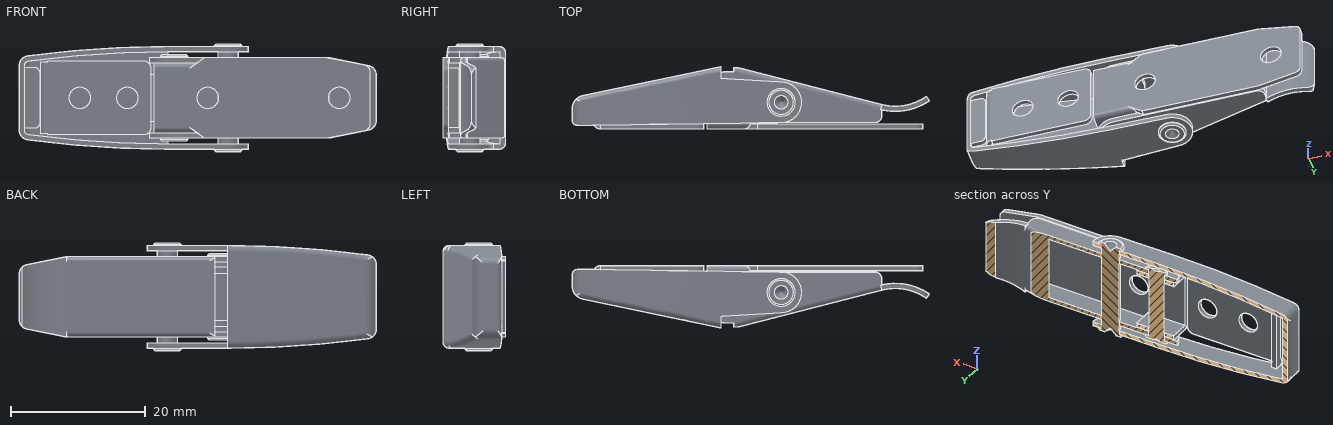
import cadquery as cq
import math


SHEET = 0.8
TALL = 31.75

HOLE_RADIUS = 1.6
KEEPER_HOLES_X = [9.0, 16.05]
BASE_HOLES_X = [27.95, 47.45]

RIVET_RADIUS = 1.55
HEAD_RADIUS = 2.05
LOOP_HEAD_HEIGHT = 0.35
BASE_HEAD_HEIGHT = 0.4
HEAD_CHAMFER = 0.25
DIMPLE_RADIUS = 1.0
DIMPLE_DEPTH = 1.0
LOOP_RIVET = (31.0, 3.95)
BASE_RIVET = (23.0, 4.7)

LOOP_HALF_WIDTH = 7.6
LOOP_ROOF_END = 22.1
LOOP_SIDE_RADIUS = 156.2
LOOP_TOP = 9.25
LOOP_ROOF_ANGLE = 11.8
LOOP_BOTTOM = 0.55
LOOP_ARM_TOP = 7.5
LOOP_ARM_END_RADIUS = 3.0
LOOP_CORNER_RADIUS = 1.5
LOOP_NOSE_RADIUS = 2.0
LOOP_ROOF_FILLET = 0.9
LOOP_NOTCH_FILLET = 0.55
LIP_END = 3.05
LIP_HALF_WIDTH = 4.5
LIP_CORNER_RADIUS = 0.8

LEVER_HALF_WIDTH = 6.0
LEVER_START = 19.35
LEVER_BOTTOM = 0.95
LEVER_SHOULDER_TOP = 8.5
LEVER_FRONT_RADIUS = 3.55
LEVER_ROOF_START = 23.95
LEVER_RIDGE = (24.7, 9.1)
LEVER_ROOF_ANGLE = 14.4
LEVER_WALL_END = 45.9
LEVER_REAR_RADIUS = 1.0
LEVER_ROOF_FILLET = 0.75
TONGUE_HALF_WIDTH = 3.5
TONGUE_GAP = 0.35
TONGUE_EDGE_RADIUS = 0.55
TAIL_CURVE_RADIUS = 8.0
TAIL_END = 52.95
TAIL_TIP_HALF_WIDTH = 4.55
TAIL_CORNER_RADIUS = 1.5

BASE_START = 19.95
BASE_END = 52.0
BASE_TAPER_START = 45.5
BASE_TIP_HALF_WIDTH = 4.7
BASE_CORNER_RADIUS = 1.0
BASE_NOTCH_START = 25.3
BASE_NOTCH_END = 27.5
FLANGE_TOP = 7.35
FLANGE_CORNER_RADIUS = 2.65

KEEPER_START = 3.2
KEEPER_END = 19.55
KEEPER_HALF_WIDTH = 5.45
KEEPER_CORNER_RADIUS = 1.05
KEEPER_BEND_RADIUS = 1.0
HOOK_HALF_WIDTH = 5.3
HOOK_TOP = 2.4

lever_half_inner = LEVER_HALF_WIDTH - SHEET
flange_half_inner = lever_half_inner - SHEET


def side_extrusion(outline, half_width):
    """Extrude an outline drawn in XY to both sides of Z = 0."""
    return outline.extrude(half_width, both=True)


def plan_workplane(height=0.0):
    """Workplane looking along -Y, with local x = X and local y = Z; extrude negative to go up."""
    return cq.Workplane("XZ", origin=(0, height, 0))


def z_cylinder(center, radius, half_length):
    return side_extrusion(cq.Workplane("XY").center(*center).circle(radius), half_length)


def mounting_holes(positions):
    points = [(x, 0) for x in positions]
    return plan_workplane().pushPoints(points).circle(HOLE_RADIUS).extrude(-SHEET)


def make_base():
    plate = (
        plan_workplane()
        .moveTo(BASE_START, -flange_half_inner)
        .lineTo(BASE_NOTCH_START, -flange_half_inner)
        .lineTo(BASE_NOTCH_END, -LEVER_HALF_WIDTH)
        .lineTo(BASE_TAPER_START, -LEVER_HALF_WIDTH)
        .lineTo(BASE_END, -BASE_TIP_HALF_WIDTH)
        .lineTo(BASE_END, BASE_TIP_HALF_WIDTH)
        .lineTo(BASE_TAPER_START, LEVER_HALF_WIDTH)
        .lineTo(BASE_NOTCH_END, LEVER_HALF_WIDTH)
        .lineTo(BASE_NOTCH_START, flange_half_inner)
        .lineTo(BASE_START, flange_half_inner)
        .close()
        .extrude(-SHEET)
        .edges("|Y and >X")
        .fillet(BASE_CORNER_RADIUS)
    )
    flange_end = (BASE_NOTCH_START + BASE_NOTCH_END) / 2
    flanges = side_extrusion(
        cq.Workplane("XY")
        .moveTo(BASE_START, 0)
        .lineTo(flange_end, 0)
        .lineTo(flange_end, FLANGE_TOP)
        .lineTo(BASE_START, FLANGE_TOP)
        .close(),
        lever_half_inner,
    )
    flanges = flanges.edges("|Z and >Y").fillet(FLANGE_CORNER_RADIUS)
    flanges = flanges.edges("|X and <Y").fillet(SHEET)
    between = cq.Workplane("XY").box(TALL * 2, TALL, 2 * flange_half_inner)
    flanges = flanges.cut(between.translate((BASE_END / 2, TALL / 2, 0)))
    base = plate.union(flanges).cut(mounting_holes(BASE_HOLES_X))
    return base.cut(z_cylinder(BASE_RIVET, RIVET_RADIUS, TALL))


def make_keeper():
    plate_start = KEEPER_START + KEEPER_BEND_RADIUS
    plate = (
        plan_workplane()
        .moveTo(plate_start, -KEEPER_HALF_WIDTH)
        .lineTo(KEEPER_END, -KEEPER_HALF_WIDTH)
        .lineTo(KEEPER_END, KEEPER_HALF_WIDTH)
        .lineTo(plate_start, KEEPER_HALF_WIDTH)
        .close()
        .extrude(-SHEET)
        .edges("|Y and >X")
        .fillet(KEEPER_CORNER_RADIUS)
    )
    inner_radius = KEEPER_BEND_RADIUS - SHEET
    hook = side_extrusion(
        cq.Workplane("XY")
        .moveTo(plate_start, 0)
        .radiusArc((KEEPER_START, KEEPER_BEND_RADIUS), KEEPER_BEND_RADIUS)
        .lineTo(KEEPER_START, HOOK_TOP)
        .lineTo(KEEPER_START + SHEET, HOOK_TOP)
        .lineTo(KEEPER_START + SHEET, KEEPER_BEND_RADIUS)
        .radiusArc((plate_start, SHEET), -inner_radius)
        .close(),
        HOOK_HALF_WIDTH,
    )
    return plate.union(hook).cut(mounting_holes(KEEPER_HOLES_X))


def loop_plan(inset, corner_radius):
    """Upright solid on the plan of the loop, moved inward, with rounded or sharp end corners."""
    half = LOOP_HALF_WIDTH - inset
    radius = LOOP_SIDE_RADIUS - inset
    run = LOOP_ROOF_END - inset
    end_half = half - radius + math.sqrt(radius**2 - run**2)
    block = (
        plan_workplane()
        .moveTo(TALL * 2, half)
        .lineTo(LOOP_ROOF_END, half)
        .radiusArc((inset, end_half), -radius)
        .lineTo(inset, -end_half)
        .radiusArc((LOOP_ROOF_END, -half), -radius)
        .lineTo(TALL * 2, -half)
        .close()
        .extrude(-TALL)
    )
    if corner_radius > 0:
        block = block.edges("|Y and <X").fillet(corner_radius)
    return block


def make_loop():
    roof_slope = math.tan(math.radians(LOOP_ROOF_ANGLE))
    roof_at_nose = LOOP_TOP - LOOP_ROOF_END * roof_slope
    rivet_x, rivet_y = LOOP_RIVET
    end_radius = LOOP_ARM_END_RADIUS

    profile_block = side_extrusion(
        cq.Workplane("XY")
        .moveTo(0, LOOP_BOTTOM)
        .lineTo(rivet_x, rivet_y - end_radius)
        .threePointArc((rivet_x + end_radius, rivet_y), (rivet_x, rivet_y + end_radius))
        .lineTo(LOOP_ROOF_END, LOOP_ARM_TOP)
        .lineTo(LOOP_ROOF_END, LOOP_TOP)
        .lineTo(0, roof_at_nose)
        .close(),
        TALL,
    )
    profile = profile_block.edges(cq.NearestToPointSelector((0, LOOP_BOTTOM, 0))).fillet(SHEET)
    profile = profile.edges(cq.NearestToPointSelector((0, roof_at_nose, 0))).fillet(LOOP_NOSE_RADIUS)
    notch = cq.NearestToPointSelector((LOOP_ROOF_END, LOOP_ARM_TOP, 0))
    profile = profile.edges(notch).fillet(LOOP_NOTCH_FILLET)

    middle = LOOP_ROOF_END / 2
    middle_top = roof_at_nose + middle * roof_slope
    outer = loop_plan(0, 0).intersect(profile_block)
    for side in (1, -1):
        roof_edge = cq.NearestToPointSelector((middle, middle_top, side * LOOP_HALF_WIDTH))
        outer = outer.edges(roof_edge).fillet(LOOP_ROOF_FILLET)
    outer = outer.intersect(profile).intersect(loop_plan(0, LOOP_CORNER_RADIUS))

    roof_drop = SHEET / math.cos(math.radians(LOOP_ROOF_ANGLE))
    hollow_top = roof_at_nose - roof_drop + SHEET * roof_slope
    far_top = roof_at_nose - roof_drop + 2 * TALL * roof_slope
    below_roof = side_extrusion(
        cq.Workplane("XY")
        .moveTo(SHEET, 0)
        .lineTo(TALL * 2, 0)
        .lineTo(TALL * 2, far_top)
        .lineTo(SHEET, hollow_top)
        .close(),
        TALL,
    )
    nose_edge = cq.NearestToPointSelector((SHEET, hollow_top, 0))
    below_roof = below_roof.edges(nose_edge).fillet(LOOP_NOSE_RADIUS - SHEET)
    hollow = loop_plan(SHEET, LOOP_CORNER_RADIUS - SHEET).intersect(below_roof)

    lip = (
        plan_workplane(LOOP_BOTTOM)
        .center((SHEET + LIP_END) / 2, 0)
        .rect(LIP_END - SHEET, 2 * LIP_HALF_WIDTH)
        .extrude(-SHEET)
        .edges("|Y and >X")
        .fillet(LIP_CORNER_RADIUS)
    )
    loop = outer.cut(hollow).union(lip)
    return loop.cut(z_cylinder(LOOP_RIVET, RIVET_RADIUS, TALL))


def make_lever():
    angle = math.radians(LEVER_ROOF_ANGLE)
    slope = math.tan(angle)
    ridge_x, ridge_y = LEVER_RIDGE
    rear_top = ridge_y - (LEVER_WALL_END - ridge_x) * slope

    body = side_extrusion(
        cq.Workplane("XY")
        .moveTo(LEVER_START, LEVER_BOTTOM)
        .lineTo(LEVER_WALL_END, LEVER_BOTTOM)
        .lineTo(LEVER_WALL_END, rear_top)
        .lineTo(ridge_x, ridge_y)
        .lineTo(LEVER_ROOF_START, ridge_y)
        .lineTo(LEVER_ROOF_START, LEVER_SHOULDER_TOP)
        .lineTo(LEVER_START, LEVER_SHOULDER_TOP)
        .close(),
        LEVER_HALF_WIDTH,
    )
    body = body.edges("|Z and <X").fillet(LEVER_FRONT_RADIUS)
    body = body.edges("|Z and >X and <Y").fillet(LEVER_REAR_RADIUS)
    roof_middle = ((ridge_x + LEVER_WALL_END) / 2, (ridge_y + rear_top) / 2)
    for side in (1, -1):
        roof_edge = cq.NearestToPointSelector((*roof_middle, side * LEVER_HALF_WIDTH))
        body = body.edges(roof_edge).fillet(LEVER_ROOF_FILLET)

    roof_drop = SHEET / math.cos(angle)
    hollow = side_extrusion(
        cq.Workplane("XY")
        .moveTo(0, 0)
        .lineTo(TALL * 2, 0)
        .lineTo(TALL * 2, ridge_y - roof_drop - (TALL * 2 - ridge_x) * slope)
        .lineTo(ridge_x, ridge_y - roof_drop)
        .lineTo(LEVER_ROOF_START, ridge_y - roof_drop)
        .lineTo(LEVER_ROOF_START, TALL)
        .lineTo(0, TALL)
        .close(),
        lever_half_inner,
    )
    lever = body.cut(hollow).union(make_tongue()).union(make_tail(rear_top))
    for rivet in (BASE_RIVET, LOOP_RIVET):
        lever = lever.cut(z_cylinder(rivet, RIVET_RADIUS, TALL))
    return lever


def make_tongue():
    """Front tongue of the lever roof, reaching forward just below the loop roof."""
    angle = math.radians(LOOP_ROOF_ANGLE)
    drop = SHEET / math.cos(angle)
    ridge_x = LEVER_RIDGE[0]

    def top_at(x):
        return LOOP_TOP - (LOOP_ROOF_END - x) * math.tan(angle) - drop - TONGUE_GAP

    tongue = side_extrusion(
        cq.Workplane("XY")
        .moveTo(LEVER_START, top_at(LEVER_START))
        .lineTo(ridge_x, top_at(ridge_x))
        .lineTo(ridge_x, top_at(ridge_x) - drop)
        .lineTo(LEVER_START, top_at(LEVER_START) - drop)
        .close(),
        TONGUE_HALF_WIDTH,
    )
    return tongue.edges("|Z and <X and <Y").fillet(TONGUE_EDGE_RADIUS)


def make_tail(start_top):
    """Upswept thumb tab that runs on from the lever roof."""
    roof_angle = math.radians(LEVER_ROOF_ANGLE)
    center_x = LEVER_WALL_END + TAIL_CURVE_RADIUS * math.sin(roof_angle)
    center_y = start_top + TAIL_CURVE_RADIUS * math.cos(roof_angle)

    def on_curve(radius, turn):
        return (center_x + radius * math.sin(turn), center_y - radius * math.cos(turn))

    top = TAIL_CURVE_RADIUS
    bottom = TAIL_CURVE_RADIUS + SHEET
    end_angle = math.asin((TAIL_END - center_x) / bottom)
    strip = side_extrusion(
        cq.Workplane("XY")
        .moveTo(*on_curve(top, -roof_angle))
        .threePointArc(on_curve(top, 0), on_curve(top, end_angle))
        .lineTo(*on_curve(bottom, end_angle))
        .threePointArc(on_curve(bottom, 0), on_curve(bottom, -roof_angle))
        .close(),
        LEVER_HALF_WIDTH,
    )
    plan = (
        plan_workplane()
        .moveTo(0, -LEVER_HALF_WIDTH)
        .lineTo(LEVER_WALL_END, -LEVER_HALF_WIDTH)
        .lineTo(TAIL_END, -TAIL_TIP_HALF_WIDTH)
        .lineTo(TAIL_END, TAIL_TIP_HALF_WIDTH)
        .lineTo(LEVER_WALL_END, LEVER_HALF_WIDTH)
        .lineTo(0, LEVER_HALF_WIDTH)
        .close()
        .extrude(-TALL)
        .edges("|Y and >X")
        .fillet(TAIL_CORNER_RADIUS)
    )
    return strip.intersect(plan)


def make_rivet(center, grip_half, head_height):
    """Rivet with a chamfered, dimpled head on each end of its grip."""
    end = grip_half + head_height
    half = (
        cq.Workplane("XZ")
        .moveTo(0, 0)
        .lineTo(RIVET_RADIUS, 0)
        .lineTo(RIVET_RADIUS, grip_half)
        .lineTo(HEAD_RADIUS, grip_half)
        .lineTo(HEAD_RADIUS, end - HEAD_CHAMFER)
        .lineTo(HEAD_RADIUS - HEAD_CHAMFER, end)
        .lineTo(DIMPLE_RADIUS, end)
        .lineTo(0, end - DIMPLE_DEPTH)
        .close()
        .revolve(360, (0, 0, 0), (0, 1, 0))
    )
    return half.union(half.mirror("XY")).translate((*center, 0))


base = make_base()
keeper = make_keeper()
lever = make_lever()
loop = make_loop()
base_rivet = make_rivet(BASE_RIVET, LEVER_HALF_WIDTH, BASE_HEAD_HEIGHT)
loop_rivet = make_rivet(LOOP_RIVET, LOOP_HALF_WIDTH, LOOP_HEAD_HEIGHT)

result = cq.Compound.makeCompound(
    [base.val(), keeper.val(), lever.val(), loop.val(), base_rivet.val(), loop_rivet.val()]
)